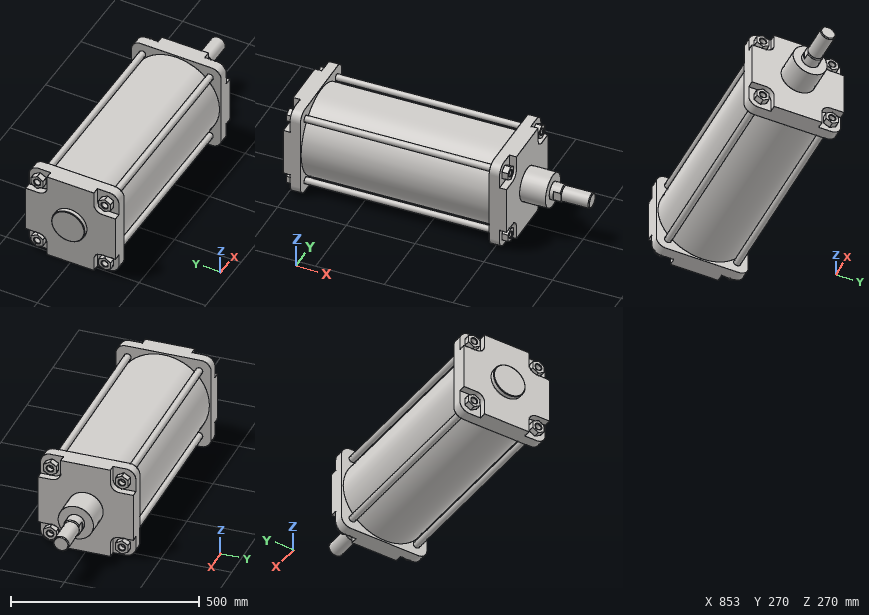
import cadquery as cq
import math


TOTAL_LENGTH = 853.0
REAR_FACE_X = 14.0
COVER_SPAN = 650.0
FRONT_FACE_X = REAR_FACE_X + COVER_SPAN
BOSS_END_X = 739.0
FLATS_START_X = 750.0
SHOULDER_X = 769.0

COVER_SIZE = 270.0
COVER_THICKNESS = 50.0
COVER_CORNER_RADIUS = 29.0
POCKET_SIZE = 65.0
POCKET_DEPTH = 20.5
POCKET_RADIUS = 26.0
BOSS_DIAMETER = 100.0
REAR_BOSS_CHAMFER = 2.0

BARREL_DIAMETER = 260.0
BARREL_START_X = REAR_FACE_X + COVER_THICKNESS
BARREL_END_X = FRONT_FACE_X - COVER_THICKNESS

TIE_ROD_OFFSET = 101.5
TIE_ROD_DIAMETER = 20.0
NUT_ACROSS_FLATS = 36.0
NUT_ACROSS_CORNERS = NUT_ACROSS_FLATS / math.cos(math.pi / 6)
NUT_RECESS = 2.5
NUT_HEIGHT = POCKET_DEPTH - NUT_RECESS
NUT_BORE_DIAMETER = 18.0
NUT_BORE_CHAMFER = 2.0

ROD_DIAMETER = 50.0
ROD_ACROSS_FLATS = 43.0
ROD_TIP_DIAMETER = 44.0
SHOULDER_LENGTH = 2.5
TIP_CHAMFER = 2.5

CORNERS = [(y, z) for y in (-1, 1) for z in (-1, 1)]
TIE_ROD_CENTRES = [(y * TIE_ROD_OFFSET, z * TIE_ROD_OFFSET) for y, z in CORNERS]


def plane_at(x):
    """Workplane facing +X at station x, with its local axes along Y and Z."""
    return cq.Workplane("YZ", origin=(x, 0, 0))


def cylinder(start_x, end_x, diameter):
    return plane_at(start_x).circle(diameter / 2).extrude(end_x - start_x)


def corner_pockets(start_x):
    """Four pocket cutters, rounded at the corner nearest the axis."""
    cutter_size = 2 * POCKET_SIZE
    return (
        plane_at(start_x)
        .pushPoints([(y * COVER_SIZE / 2, z * COVER_SIZE / 2) for y, z in CORNERS])
        .rect(cutter_size, cutter_size)
        .extrude(POCKET_DEPTH)
        .edges("|X")
        .fillet(POCKET_RADIUS)
    )


def make_cover(plate_x, pocket_x):
    """Square plate with rounded corners, nut pockets and tie rod holes."""
    plate = (
        plane_at(plate_x)
        .rect(COVER_SIZE, COVER_SIZE)
        .extrude(COVER_THICKNESS)
        .edges("|X")
        .fillet(COVER_CORNER_RADIUS)
    )
    tie_rod_holes = (
        plane_at(plate_x)
        .pushPoints(TIE_ROD_CENTRES)
        .circle(TIE_ROD_DIAMETER / 2)
        .extrude(COVER_THICKNESS)
    )
    return plate.cut(corner_pockets(pocket_x)).cut(tie_rod_holes)


def make_rear_cover():
    boss = cylinder(0, REAR_FACE_X, BOSS_DIAMETER).faces("<X").chamfer(REAR_BOSS_CHAMFER)
    return make_cover(REAR_FACE_X, REAR_FACE_X).union(boss)


def make_front_cover():
    boss = cylinder(FRONT_FACE_X, BOSS_END_X, BOSS_DIAMETER)
    rod_bore = cylinder(BARREL_END_X, BOSS_END_X, ROD_DIAMETER)
    cover = make_cover(BARREL_END_X, FRONT_FACE_X - POCKET_DEPTH)
    return cover.union(boss).cut(rod_bore)


def make_barrel():
    return cylinder(BARREL_START_X, BARREL_END_X, BARREL_DIAMETER)


def make_piston_rod():
    """Round rod with two wrench flats, a tapered shoulder and a thinner tip."""
    rod_radius = ROD_DIAMETER / 2
    tip_radius = ROD_TIP_DIAMETER / 2
    profile = [
        (BARREL_END_X, 0),
        (BARREL_END_X, rod_radius),
        (SHOULDER_X, rod_radius),
        (SHOULDER_X + SHOULDER_LENGTH, tip_radius),
        (TOTAL_LENGTH - TIP_CHAMFER, tip_radius),
        (TOTAL_LENGTH, tip_radius - TIP_CHAMFER),
        (TOTAL_LENGTH, 0),
    ]
    rod = cq.Workplane("XY").polyline(profile).close().revolve(360, (0, 0, 0), (1, 0, 0))
    flats_length = SHOULDER_X + SHOULDER_LENGTH - FLATS_START_X
    flats_block = plane_at(FLATS_START_X).rect(2 * ROD_DIAMETER, 2 * ROD_DIAMETER).extrude(flats_length)
    kept_band = plane_at(FLATS_START_X).rect(ROD_ACROSS_FLATS, 2 * ROD_DIAMETER).extrude(flats_length)
    return rod.cut(flats_block.cut(kept_band))


def make_nut():
    """Hexagonal nut along +X from the origin, its bore chamfered at the outer end."""
    return (
        plane_at(0)
        .polygon(6, NUT_ACROSS_CORNERS)
        .circle(NUT_BORE_DIAMETER / 2)
        .extrude(NUT_HEIGHT)
        .rotate((0, 0, 0), (1, 0, 0), 90)
        .faces(">X")
        .edges("%CIRCLE")
        .chamfer(NUT_BORE_CHAMFER)
    )


def make_tie_rod(y, z):
    """Plain rod clamped between two nuts that sit in the cover pockets."""
    rear_seat_x = REAR_FACE_X + POCKET_DEPTH
    front_seat_x = FRONT_FACE_X - POCKET_DEPTH
    shaft = cylinder(rear_seat_x, front_seat_x, TIE_ROD_DIAMETER)
    front_nut = make_nut().translate((front_seat_x, 0, 0))
    rear_nut = make_nut().mirror("YZ").translate((rear_seat_x, 0, 0))
    return shaft.union(front_nut).union(rear_nut).translate((0, y, z))


rear_cover = make_rear_cover()
front_cover = make_front_cover()
barrel = make_barrel()
piston_rod = make_piston_rod()
tie_rods = [make_tie_rod(y, z) for y, z in TIE_ROD_CENTRES]

result = cq.Compound.makeCompound(
    [
        rear_cover.val(),
        front_cover.val(),
        barrel.val(),
        piston_rod.val(),
        *[tie_rod.val() for tie_rod in tie_rods],
    ]
)